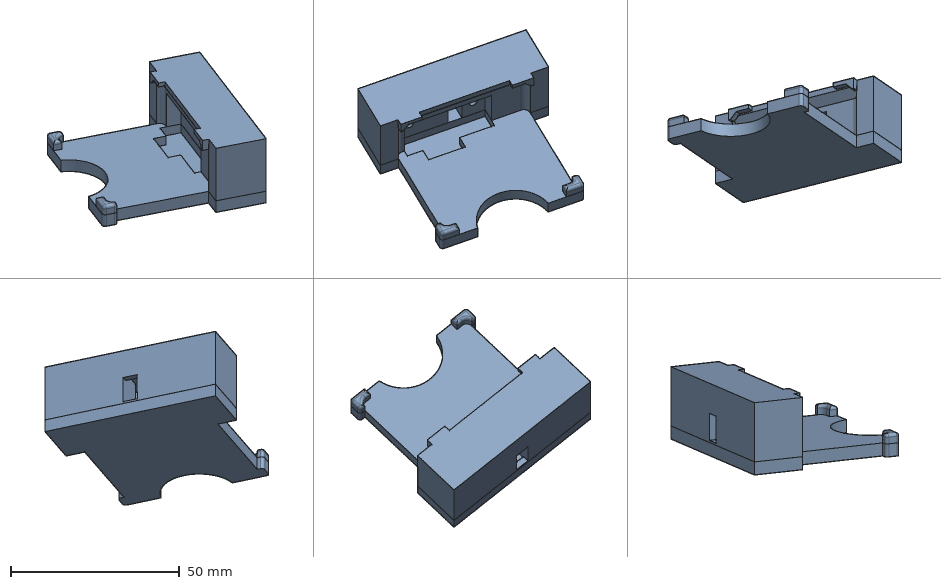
import cadquery as cq


housing_width = 55.0
housing_depth = 16.0
total_height = 22.0
base_thickness = 4.0

device_width = 43.0
device_corner_radius = 2.05
device_back_y = 2.1
device_front_y = -31.7

cavity_front_height = 20.2
cavity_back_height = 17.3

plate_length = 34.3
notch_radius = 11.65
notch_depth = 9.7

clip_side_wall = 2.0
clip_length_x = 6.05
clip_height = 3.0
clip_fillet = 1.0
clip_outer_x = device_width / 2 + clip_side_wall
clip_inner_x = clip_outer_x - clip_length_x
clip_back_y = device_front_y + device_corner_radius

tab_outer_x = 21.75
tab_inner_x = 14.7
tab_reach = 2.0
tab_outer_height = 3.4
tab_thickness = 1.35
tab_lip_width = 0.75
tab_slope = tab_outer_height - tab_thickness

recess_left_x = -18.7
recess_right_x = 9.8
recess_back_y = 6.7
recess_floor_z = 1.0
recess_top_z = 15.4
relief_left_x = -13.6
relief_width = 12.0
relief_reach = 4.0

slot_width = 4.5
rear_wall = 2.0
slot_back_y = housing_depth - rear_wall
window_bottom_z = 4.65
window_top_z = 12.85
screw_hole_diameter = 2.5
screw_spacing = 20.9
screw_z = 9.25
recess_center_x = (recess_left_x + recess_right_x) / 2


def block(x_range, y_range, z_range):
    """Rectangular block given by its limits along each axis."""
    sizes = [high - low for low, high in (x_range, y_range, z_range)]
    corner = (x_range[0], y_range[0], z_range[0])
    return cq.Workplane("XY").box(*sizes, centered=False).translate(corner)


def mirrored_if(shape, side):
    """Shape itself for the right side (+1), its mirror image for the left side (-1)."""
    return shape if side > 0 else shape.mirror("YZ")


def device_prism(height):
    """Upright prism of the device outline, standing on the base."""
    length = device_back_y - device_front_y
    center_y = (device_back_y + device_front_y) / 2
    return (
        cq.Workplane("XY", origin=(0, center_y, base_thickness))
        .rect(device_width, length)
        .extrude(height)
        .edges("|Z")
        .fillet(device_corner_radius)
    )


def corner_post(z_bottom, height):
    """Right front corner block with sharp edges."""
    return block(
        (clip_inner_x, clip_outer_x),
        (-plate_length, clip_back_y),
        (z_bottom, z_bottom + height),
    )


def make_base():
    half_width = housing_width / 2
    half_plate = device_width / 2
    base = block((-half_width, half_width), (0, housing_depth), (0, base_thickness))
    base = base.union(block((-half_plate, half_plate), (-plate_length, 0), (0, base_thickness)))
    for side in (-1, 1):
        foot = corner_post(0, base_thickness).edges("|Z and >X").fillet(clip_fillet)
        base = base.union(mirrored_if(foot, side))

    notch_center_y = -plate_length + notch_depth - notch_radius
    notch = cq.Workplane("XY").center(0, notch_center_y).circle(notch_radius).extrude(base_thickness)

    recess_z = (recess_floor_z, base_thickness)
    recess = block((recess_left_x, recess_right_x), (0, recess_back_y), recess_z)
    relief = block((relief_left_x, relief_left_x + relief_width), (-relief_reach, 0), recess_z)
    return base.cut(notch).cut(recess).cut(relief)


def device_cavity():
    """Device outline limited above by the sloped top of the cavity."""
    slope_profile = (
        cq.Workplane("YZ")
        .moveTo(0, base_thickness)
        .lineTo(0, cavity_front_height)
        .lineTo(device_back_y, cavity_back_height)
        .lineTo(device_back_y, base_thickness)
        .close()
        .extrude(device_width / 2, both=True)
    )
    return device_prism(total_height - base_thickness).intersect(slope_profile)


def make_tab():
    """Right tab: a thin bar with a deeper lip at its outer end."""
    tab_bottom = total_height - tab_outer_height
    slope_top = total_height - tab_thickness
    lip_x = tab_outer_x - tab_lip_width
    return (
        cq.Workplane("XZ")
        .moveTo(tab_inner_x, total_height)
        .lineTo(tab_outer_x, total_height)
        .lineTo(tab_outer_x, tab_bottom)
        .lineTo(lip_x, tab_bottom)
        .lineTo(lip_x - tab_slope, slope_top)
        .lineTo(tab_inner_x, slope_top)
        .close()
        .extrude(tab_reach)
    )


def make_housing():
    half_width = housing_width / 2
    half_slot = slot_width / 2
    housing = block((-half_width, half_width), (0, housing_depth), (base_thickness, total_height))
    housing = housing.cut(device_cavity())

    recess_z = (base_thickness, recess_top_z)
    slot_x = (-half_slot, half_slot)
    housing = housing.cut(block((recess_left_x, recess_right_x), (device_back_y, recess_back_y), recess_z))
    housing = housing.cut(block(slot_x, (recess_back_y, slot_back_y), recess_z))
    housing = housing.cut(block(slot_x, (slot_back_y, housing_depth), (window_bottom_z, window_top_z)))

    for side in (-1, 1):
        hole_x = recess_center_x + side * screw_spacing / 2
        hole = (
            cq.Workplane("XZ", origin=(hole_x, recess_back_y, screw_z))
            .circle(screw_hole_diameter / 2)
            .extrude(recess_back_y - slot_back_y)
        )
        housing = housing.cut(hole)

    for side in (-1, 1):
        housing = housing.union(mirrored_if(make_tab(), side))
    return housing


def make_clip(side):
    """Corner clip that wraps the rounded front corner of the device."""
    clip = corner_post(base_thickness, clip_height).cut(device_prism(clip_height))
    clip = clip.edges("(|Z and >X) or >Z").fillet(clip_fillet)
    return mirrored_if(clip, side)


base = make_base()
housing = make_housing()
clips = [make_clip(side) for side in (-1, 1)]

result = cq.Compound.makeCompound([base.val(), housing.val(), *[clip.val() for clip in clips]])